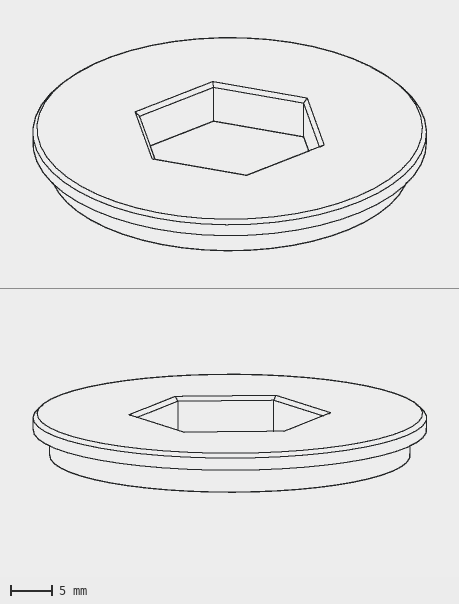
import cadquery as cq
import math

flange_diameter = 47.7
spigot_diameter = 43.7
total_height = 5.15
flange_thickness = 2.0
spigot_height = total_height - flange_thickness
edge_chamfer = 0.5

hex_sides = 6
hex_across_flats = 20.15
hex_chamfer = 0.5


def across_corners(across_flats):
    """Corner-to-corner size of a regular hexagon."""
    return across_flats / math.cos(math.pi / hex_sides)


def make_body():
    """Flange with a chamfered top rim, standing on a narrower spigot."""
    spigot = cq.Workplane("XY").circle(spigot_diameter / 2).extrude(spigot_height)
    flange = (
        cq.Workplane("XY", origin=(0, 0, spigot_height))
        .circle(flange_diameter / 2)
        .extrude(flange_thickness)
        .faces(">Z")
        .edges()
        .chamfer(edge_chamfer)
    )
    return spigot.union(flange)


def cut_hex_hole(body):
    """Cut the hexagon through the body and chamfer its top edges."""
    bore = cq.Workplane("XY").polygon(hex_sides, across_corners(hex_across_flats)).extrude(total_height)
    countersink = (
        cq.Workplane("XY", origin=(0, 0, total_height - hex_chamfer))
        .polygon(hex_sides, across_corners(hex_across_flats))
        .workplane(offset=hex_chamfer)
        .polygon(hex_sides, across_corners(hex_across_flats + 2 * hex_chamfer))
        .loft(ruled=True)
    )
    return body.cut(bore).cut(countersink)


result = cut_hex_hole(make_body())